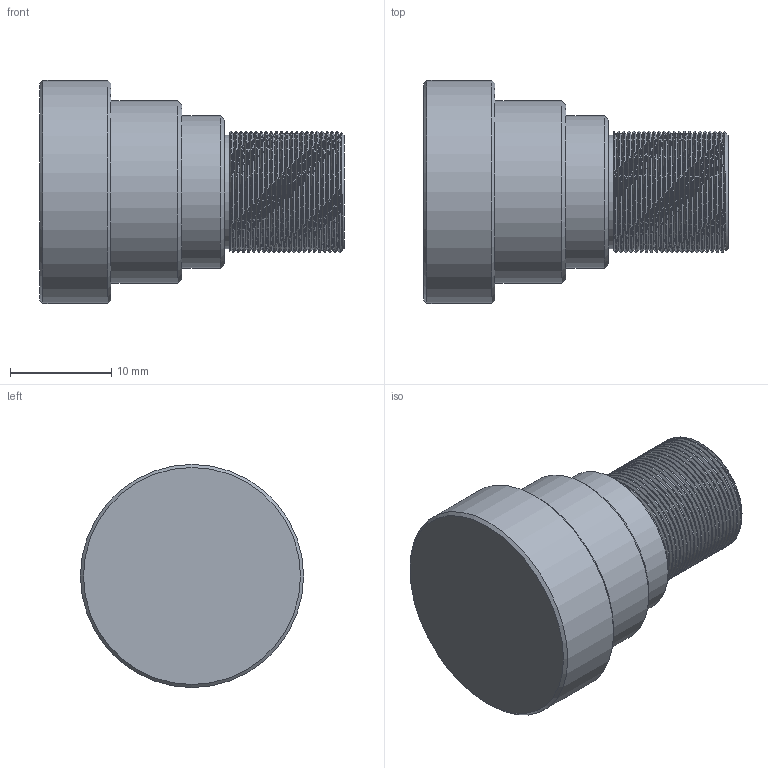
import cadquery as cq
import math

head_diameter = 22.0
shoulder_diameter = 18.0
collar_diameter = 15.0
neck_diameter = 11.23

head_end = 7.0
shoulder_end = 14.0
collar_end = 18.2
thread_start = 18.7
overall_length = 30.0

head_chamfer = 0.3
step_chamfer = 0.4

thread_diameter = 12.0
thread_pitch = 0.5
flank_half_angle = math.radians(30)
sharp_v_height = thread_pitch / 2 / math.tan(flank_half_angle)
thread_depth = 5 / 8 * sharp_v_height
crest_width = thread_pitch / 5
spare_turns = 1
cutter_overshoot = 0.02


def cylinder(diameter, start, end):
    """Solid cylinder on the X axis between two X positions."""
    return cq.Workplane("YZ", origin=(start, 0, 0)).circle(diameter / 2).extrude(end - start)


def stepped_body():
    """Head, shoulder, collar, neck and the plain blank of the threaded end."""
    head = cylinder(head_diameter, 0, head_end).edges().chamfer(head_chamfer)
    shoulder = cylinder(shoulder_diameter, head_end, shoulder_end).faces(">X").chamfer(step_chamfer)
    collar = cylinder(collar_diameter, shoulder_end, collar_end).faces(">X").chamfer(step_chamfer)
    neck = cylinder(neck_diameter, collar_end, thread_start)
    blank = cylinder(thread_diameter, thread_start, overall_length).faces(">X").chamfer(step_chamfer)
    return head.union(shoulder).union(collar).union(neck).union(blank)


def thread_groove():
    """Helical groove with a narrow flat root, and a crest on the +Y side at the start of the thread."""
    root_radius = thread_diameter / 2 - thread_depth
    outer_radius = thread_diameter / 2 + cutter_overshoot
    crest_half_gap = (thread_pitch - crest_width) / 2
    root_half_gap = crest_half_gap - thread_depth * math.tan(flank_half_angle)
    outer_half_gap = crest_half_gap + cutter_overshoot * math.tan(flank_half_angle)

    turns = math.ceil((overall_length - thread_start) / thread_pitch) + 2 * spare_turns
    helix = cq.Wire.makeHelix(thread_pitch, turns * thread_pitch, root_radius)
    groove = (
        cq.Workplane("XZ")
        .polyline(
            [
                (root_radius, -root_half_gap),
                (outer_radius, -outer_half_gap),
                (outer_radius, outer_half_gap),
                (root_radius, root_half_gap),
            ]
        )
        .close()
        .sweep(cq.Workplane(obj=helix), isFrenet=True)
    )
    along_x = groove.rotate((0, 0, 0), (1, 1, 1), 120)
    groove_start = thread_start - (spare_turns + 0.5) * thread_pitch
    return along_x.translate((groove_start, 0, 0))


def threaded_end_groove():
    """The part of the groove that lies over the threaded length only."""
    sleeve = cylinder(collar_diameter, thread_start, overall_length + thread_pitch)
    return thread_groove().intersect(sleeve)


result = stepped_body().cut(threaded_end_groove()).solids()